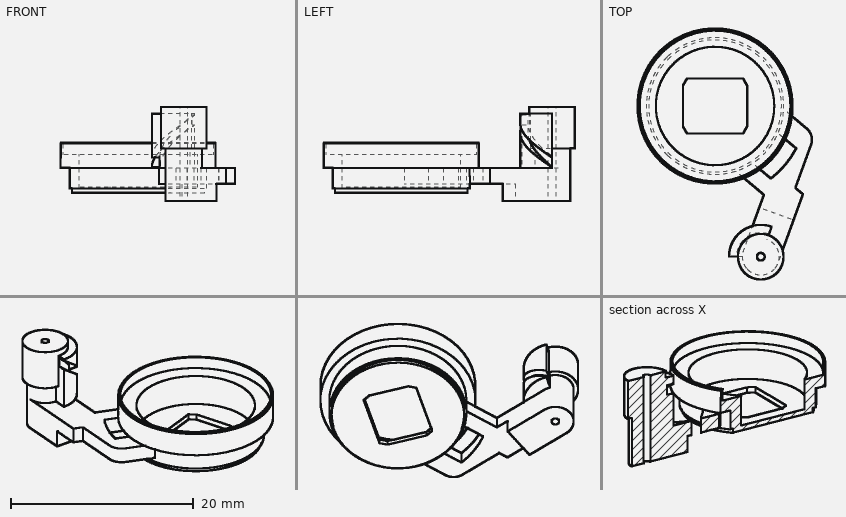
import cadquery as cq
import math

FOOT_Z = 0.9
BODY_Z = 1.4
FLOOR_Z = 1.57
ARM_BOTTOM_Z = 1.9
ARM_TOP_Z = 3.63
LEDGE_Z = 5.1
RING_TOP_Z = 6.44
HEAD_Z = 5.78
GUARD_TOP_Z = 9.57
POST_TOP_Z = 10.3

RIM_RADIUS = 8.5
RIM_BORE_RADIUS = 8.25
BODY_RADIUS = 7.5
FOOT_RADIUS = 7.25
BORE_RADIUS = 6.5
RIM_CHAMFER_WIDTH = 0.08
RIM_CHAMFER_HEIGHT = 0.15
WINDOW_X = 7.0
WINDOW_Y = 6.0
WINDOW_CORNER_X = 0.45
WINDOW_CORNER_Y = 0.77

POST_X = 5.0
POST_Y = -16.5
POST_RADIUS = 2.0
HEAD_RADIUS = 2.5
PIN_HOLE_RADIUS = 0.4
GUARD_RADIUS = 3.5
GUARD_SWEEP = 110
GROOVE_FLOOR_RADIUS = 2.65
GROOVE_START_Z = 3.7
GROOVE_HEIGHT = 1.07
GROOVE_PITCH = 15.12

ARM_ANGLE = 70
BRACKET_ANGLE = -40
BRACKET_LOWER = -4.02
BRACKET_UPPER = 4.56
SHOULDER = -1.2
NECK_OFFSET = 1.0
BRACKET_CORNER_RADIUS = 1.6
LEG_LENGTH = 5.0
SLOT_HALF_WIDTH = 2.15
SLOT_OUTER_RADIUS = 10.0

CUT_MARGIN = 0.28
GROOVE_OVERRUN = 20


def cylinder(radius, bottom, top):
    return cq.Workplane("XY", origin=(0, 0, bottom)).circle(radius).extrude(top - bottom)


def at_post(shape):
    return shape.translate((POST_X, POST_Y, 0))


def direction(angle):
    return math.cos(math.radians(angle)), math.sin(math.radians(angle))


def arm_point(along, across):
    """Point measured from the post axis, along the leg and to its right."""
    ux, uy = direction(ARM_ANGLE)
    return POST_X + along * ux + across * uy, POST_Y + along * uy - across * ux


def bracket_point(along, across):
    """Point measured from the ring axis, along the bracket and to its left."""
    ex, ey = direction(BRACKET_ANGLE)
    return along * ex - across * ey, along * ey + across * ex


def crossing(bracket_offset, arm_offset):
    """Where a line along the bracket meets a line along the leg."""
    start_x, start_y = bracket_point(0, bracket_offset)
    line_x, line_y = arm_point(0, arm_offset)
    ux, uy = direction(ARM_ANGLE)
    ex, ey = direction(BRACKET_ANGLE)
    along = ((line_x - start_x) * uy - (line_y - start_y) * ux) / (ex * uy - ey * ux)
    return bracket_point(along, bracket_offset)


def make_ring():
    rim = cylinder(RIM_RADIUS, ARM_TOP_Z, RING_TOP_Z)
    rim = rim.faces(">Z").edges().chamfer(RIM_CHAMFER_HEIGHT, RIM_CHAMFER_WIDTH)
    body = cylinder(BODY_RADIUS, BODY_Z, ARM_TOP_Z)
    foot = cylinder(FOOT_RADIUS, FOOT_Z, BODY_Z)
    return rim.union(body).union(foot)


def make_window():
    """Rectangular light opening with its four corners cut off."""
    half_x = WINDOW_X / 2
    half_y = WINDOW_Y / 2
    inner_x = half_x - WINDOW_CORNER_X
    inner_y = half_y - WINDOW_CORNER_Y
    outline = [
        (half_x, -inner_y), (half_x, inner_y), (inner_x, half_y), (-inner_x, half_y),
        (-half_x, inner_y), (-half_x, -inner_y), (-inner_x, -half_y), (inner_x, -half_y),
    ]
    return cq.Workplane("XY").polyline(outline).close().extrude(LEDGE_Z)


def make_arm():
    neck_corner = crossing(BRACKET_UPPER, NECK_OFFSET)
    outline = [
        bracket_point(0, BRACKET_LOWER),
        crossing(BRACKET_LOWER, -POST_RADIUS),
        arm_point(0, -POST_RADIUS),
        arm_point(0, POST_RADIUS),
        crossing(SHOULDER, POST_RADIUS),
        crossing(SHOULDER, NECK_OFFSET),
        neck_corner,
        bracket_point(0, BRACKET_UPPER),
    ]
    thickness = ARM_TOP_Z - ARM_BOTTOM_Z
    plate = cq.Workplane("XY", origin=(0, 0, ARM_BOTTOM_Z)).polyline(outline).close().extrude(thickness)
    corner_edge = cq.selectors.NearestToPointSelector((*neck_corner, ARM_BOTTOM_Z + thickness / 2))
    plate = plate.edges("|Z").edges(corner_edge).fillet(BRACKET_CORNER_RADIUS)

    slot = (
        cq.Workplane("XY")
        .rect(SLOT_OUTER_RADIUS, 2 * SLOT_HALF_WIDTH)
        .extrude(ARM_TOP_Z)
        .translate((SLOT_OUTER_RADIUS / 2, 0, 0))
        .rotate((0, 0, 0), (0, 0, 1), BRACKET_ANGLE)
        .intersect(cylinder(SLOT_OUTER_RADIUS, 0, ARM_TOP_Z))
    )
    leg_outline = [
        arm_point(0, -POST_RADIUS), arm_point(LEG_LENGTH, -POST_RADIUS),
        arm_point(LEG_LENGTH, POST_RADIUS), arm_point(0, POST_RADIUS),
    ]
    leg = cq.Workplane("XY").polyline(leg_outline).close().extrude(ARM_TOP_Z)
    return plate.cut(slot).union(leg)


def make_groove():
    """Left-handed helical channel climbing round the outside of the guard."""
    turn = GUARD_SWEEP + GROOVE_OVERRUN
    helix = cq.Wire.makeHelix(GROOVE_PITCH, GROOVE_PITCH * turn / 360, GROOVE_FLOOR_RADIUS, lefthand=True)
    depth = GUARD_RADIUS - GROOVE_FLOOR_RADIUS + CUT_MARGIN
    profile = cq.Workplane("XZ").center(GROOVE_FLOOR_RADIUS + depth / 2, GROOVE_HEIGHT / 2)
    groove = profile.rect(depth, GROOVE_HEIGHT).sweep(cq.Workplane(obj=helix), isFrenet=True)
    return groove.rotate((0, 0, 0), (0, 0, 1), 180).translate((0, 0, GROOVE_START_Z))


def make_guard():
    sector = (
        cq.Workplane("XZ")
        .rect(GUARD_RADIUS, GUARD_TOP_Z - ARM_TOP_Z, centered=False)
        .revolve(GUARD_SWEEP, (0, 0, 0), (0, -1, 0))
        .rotate((0, 0, 0), (0, 0, 1), 180)
        .translate((0, 0, ARM_TOP_Z))
    )
    return sector.cut(make_groove())


def make_post():
    shaft = cylinder(POST_RADIUS, 0, POST_TOP_Z)
    head = cylinder(HEAD_RADIUS, HEAD_Z, POST_TOP_Z)
    return at_post(shaft.union(head).union(make_guard()))


result = (
    make_ring()
    .union(make_arm())
    .union(make_post())
    .cut(cylinder(BORE_RADIUS, FLOOR_Z, RING_TOP_Z))
    .cut(cylinder(RIM_BORE_RADIUS, LEDGE_Z, RING_TOP_Z))
    .cut(make_window())
    .cut(at_post(cylinder(PIN_HOLE_RADIUS, 0, POST_TOP_Z)))
)